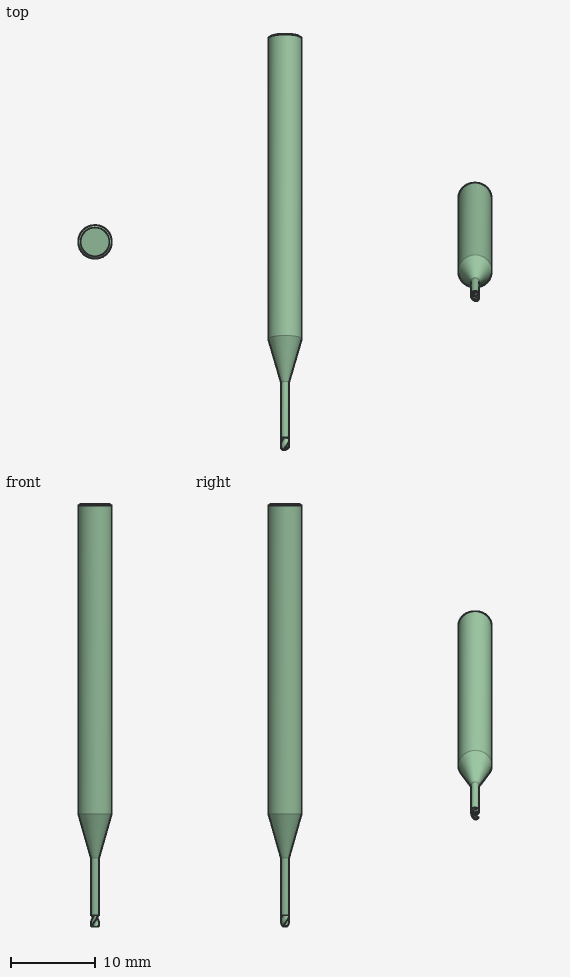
import cadquery as cq
import math

total_length = 50.0
shank_radius = 2.0
shank_bottom = 13.4
shank_chamfer_width = 0.3
shank_chamfer_height = 0.2
neck_radius = 0.5
neck_top = 8.15
cutter_length = 1.4
cutter_radius = neck_radius
web_thickness = 0.35
flute_radius = 1.0
helix_lead = 4.4
corner_chamfer = 0.15
end_edge_width = 0.3
end_relief_width = 0.6
end_relief_height = 0.15


def make_holder():
    """Shank, taper and neck, turned as one solid above the cutter."""
    top_face_radius = shank_radius - shank_chamfer_width
    profile = [
        (0, cutter_length),
        (neck_radius, cutter_length),
        (neck_radius, neck_top),
        (shank_radius, shank_bottom),
        (shank_radius, total_length - shank_chamfer_height),
        (top_face_radius, total_length),
        (0, total_length),
    ]
    return cq.Workplane("XZ").polyline(profile).close().revolve(360, (0, 0), (0, 1))


def make_twisted_blade():
    """Round bar with two opposite flutes, twisted into a right-hand helix."""
    flute_offset = web_thickness / 2 + flute_radius
    corner_y = (cutter_radius**2 + flute_offset**2 - flute_radius**2) / (2 * flute_offset)
    corner_x = math.sqrt(cutter_radius**2 - corner_y**2)
    twist = 360 * cutter_length / helix_lead
    return (
        cq.Workplane("XY")
        .moveTo(corner_x, -corner_y)
        .threePointArc((cutter_radius, 0), (corner_x, corner_y))
        .threePointArc((0, web_thickness / 2), (-corner_x, corner_y))
        .threePointArc((-cutter_radius, 0), (-corner_x, -corner_y))
        .threePointArc((0, -web_thickness / 2), (corner_x, -corner_y))
        .close()
        .twistExtrude(cutter_length, twist)
    )


def make_rim_envelope():
    """Upturned cone at 45 degrees that bevels the rim of the cutting end and clears the rest."""
    bottom_radius = cutter_radius - corner_chamfer
    top_radius = bottom_radius + cutter_length
    profile = [
        (0, 0),
        (bottom_radius, 0),
        (top_radius, cutter_length),
        (0, cutter_length),
    ]
    return cq.Workplane("XZ").polyline(profile).close().revolve(360, (0, 0), (0, 1))


def make_end_relief(side):
    """Wedge that slopes the cutting end up towards one side along Y."""
    slope = end_relief_height / ((end_relief_width - end_edge_width) / 2)
    inner_y = end_edge_width / 2
    outer_y = cutter_radius
    wedge_height = slope * (outer_y - inner_y)
    return (
        cq.Workplane("YZ")
        .polyline([(side * inner_y, 0), (side * outer_y, 0), (side * outer_y, wedge_height)])
        .close()
        .extrude(cutter_radius, both=True)
    )


def make_cutter():
    """Two-flute cutting tip below the neck."""
    cutter = make_twisted_blade().intersect(make_rim_envelope())
    for side in (-1, 1):
        cutter = cutter.cut(make_end_relief(side))
    return cutter


holder = make_holder()
cutter = make_cutter()
result = cq.Compound.makeCompound([holder.val(), *cutter.solids().vals()])